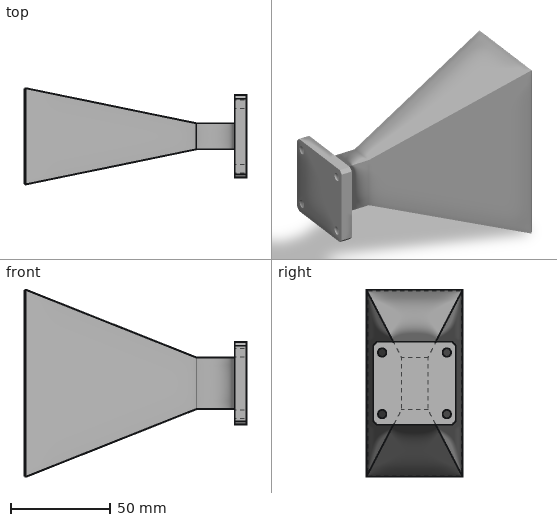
import cadquery as cq

total_length = 111.8
mouth_width = 48.5
mouth_height = 94.2
rim_depth = 0.7
rim_inset = 0.7

neck_width = 13.2
neck_height = 26.0
neck_length = 19.2

flange_size = 41.6
flange_thickness = 6.0
flange_corner = 1.8
hole_diameter = 4.2
hole_spacing_y = 32.5
hole_spacing_z = 31.0

flange_start = total_length - flange_thickness
neck_start = flange_start - neck_length


def tapered_block(start, end, start_size, end_size):
    """Block along X whose (Y, Z) section changes evenly from start to end."""
    return (
        cq.Workplane("YZ", origin=(start, 0, 0))
        .rect(*start_size)
        .workplane(offset=end - start)
        .rect(*end_size)
        .loft(ruled=True)
    )


def make_horn():
    """Solid flared horn with a narrow bevelled rim around its mouth."""
    mouth = (mouth_width, mouth_height)
    face = (mouth_width - 2 * rim_inset, mouth_height - 2 * rim_inset)
    rim = tapered_block(0, rim_depth, face, mouth)
    flare = tapered_block(rim_depth, neck_start, mouth, (neck_width, neck_height))
    return rim.union(flare)


def make_neck():
    """Straight rectangular section joining the horn to the flange."""
    return (
        cq.Workplane("YZ", origin=(neck_start, 0, 0))
        .rect(neck_width, neck_height)
        .extrude(neck_length)
    )


def make_flange():
    """Square plate with bevelled corners and four through holes."""
    plate = (
        cq.Workplane("YZ", origin=(flange_start, 0, 0))
        .rect(flange_size, flange_size)
        .extrude(flange_thickness)
        .edges("|X")
        .chamfer(flange_corner)
    )
    holes = (
        cq.Workplane("YZ", origin=(flange_start, 0, 0))
        .rect(hole_spacing_y, hole_spacing_z, forConstruction=True)
        .vertices()
        .circle(hole_diameter / 2)
        .extrude(flange_thickness)
    )
    return plate.cut(holes)


result = make_horn().union(make_neck()).union(make_flange())